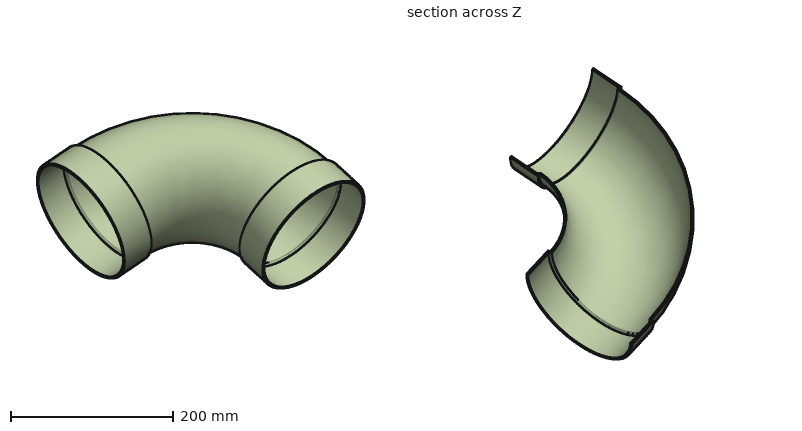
import cadquery as cq

overall_length = 286.0
socket_diameter = 166.0
socket_bore = 160.0
socket_length = 43.5
tube_diameter = 160.0
tube_bore = 154.0

stop_radius = (socket_bore - tube_bore) / 2

bend_radius = overall_length - socket_diameter / 2 - socket_length
quarter_turn = 90
full_turn = 360

lower_face = cq.Plane(origin=(0, 0, 0), xDir=(1, 0, 0), normal=(0, -1, 0))
side_face = cq.Plane(
    origin=(bend_radius, bend_radius, 0), xDir=(0, 1, 0), normal=(1, 0, 0)
)


def quarter_bend(diameter):
    """Solid round bar swept a quarter turn from the lower face to the side face."""
    return (
        cq.Workplane(lower_face)
        .circle(diameter / 2)
        .revolve(quarter_turn, (bend_radius, 0), (bend_radius, -1))
    )


def socket_body(face):
    """Solid cylinder running outward from one end of the bend."""
    return cq.Workplane(face).circle(socket_diameter / 2).extrude(socket_length)


def socket_cavity(face):
    """Socket bore that narrows to the tube bore through a rounded stop."""
    profile = (
        cq.Workplane(face)
        .transformed(rotate=(quarter_turn, 0, 0))
        .lineTo(tube_bore / 2, 0)
        .radiusArc((socket_bore / 2, stop_radius), stop_radius)
        .lineTo(socket_bore / 2, socket_length)
        .lineTo(0, socket_length)
        .close()
    )
    return profile.revolve(full_turn, (0, 0), (0, 1))


outside = quarter_bend(tube_diameter)
inside = quarter_bend(tube_bore)
for face in (lower_face, side_face):
    outside = outside.union(socket_body(face))
    inside = inside.union(socket_cavity(face))

elbow = outside.cut(inside)

centre_x = (bend_radius + socket_length - socket_diameter / 2) / 2
centre_y = (bend_radius + socket_diameter / 2 - socket_length) / 2
result = elbow.translate((-centre_x, -centre_y, 0))